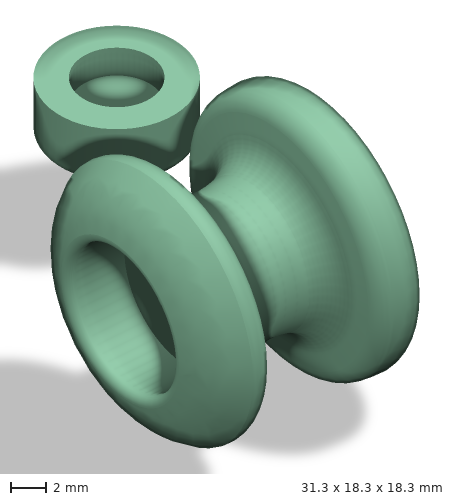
import cadquery as cq
import math

puck_diameter = 9.4
puck_height = 4.0
puck_edge_radius = 0.5
recess_diameter = 5.4
recess_depth = 2.0

spool_length = 14.97
spool_center_x = 17.435
spool_front_y = -13.63

rear_rim_radius = 9.145
rim_edge_radius = 1.25
crown_radius = 6.5
crown_angle = 10.0

front_rim_radius = 8.9
front_rim_station = 2.92
dome_radius = 4.9
dome_start_angle = 17.0
lip_angle = 10.0

waist_radius = 4.64
waist_station = 8.21
waist_arc_radius = 6.35
flank_arc_radius = 2.15
rear_waist_reach = 1.6
front_waist_reach = 2.27

pocket_radius = 4.75
pocket_depth = 4.1
lip_radius = 0.5
through_hole_radius = 2.25


def on_circle(center, radius, degrees):
    """Point on a circle in the (radius, station) half plane; 0 degrees points outward."""
    angle = math.radians(degrees)
    return (center[0] + radius * math.cos(angle), center[1] + radius * math.sin(angle))


def add_arc(profile, center, radius, start, end):
    """Extend the profile from its current point along a circle, from start to end degrees."""
    middle = on_circle(center, radius, (start + end) / 2)
    return profile.threePointArc(middle, on_circle(center, radius, end))


def flank_arc_center(waist_center, waist_angle):
    """Centre of the flank arc that is tangent to the waist arc at waist_angle."""
    return on_circle(waist_center, waist_arc_radius - flank_arc_radius, waist_angle)


def flank_angle(rim_center, flank_center, side):
    """Direction from the rim circle's centre to its contact with the straight flank line.

    The line is the inner common tangent of the rim and flank circles.
    side is +1 when the groove lies toward larger stations, -1 when toward smaller ones.
    """
    dr = flank_center[0] - rim_center[0]
    ds = flank_center[1] - rim_center[1]
    to_flank = math.degrees(math.atan2(ds, dr))
    spread = math.degrees(math.acos((rim_edge_radius + flank_arc_radius) / math.hypot(dr, ds)))
    return to_flank - side * spread


def make_puck():
    puck = (
        cq.Workplane("XY")
        .workplane(offset=-puck_height)
        .circle(puck_diameter / 2)
        .extrude(puck_height)
        .faces("<Z")
        .edges()
        .fillet(puck_edge_radius)
    )
    recess = cq.Workplane("XY").circle(recess_diameter / 2).extrude(-recess_depth)
    return puck.cut(recess)


def make_spool():
    lip_center = (pocket_radius + lip_radius, lip_radius)
    front_rim_center = (front_rim_radius - rim_edge_radius, front_rim_station)
    rear_edge_center = (rear_rim_radius - rim_edge_radius, spool_length - rim_edge_radius)
    crown_center = (rear_rim_radius - crown_radius, rear_edge_center[1])
    inner_edge_center = on_circle(crown_center, crown_radius - rim_edge_radius, -crown_angle)
    waist_center = (waist_radius + waist_arc_radius, waist_station)

    front_waist_angle = 180 + math.degrees(math.asin(front_waist_reach / waist_arc_radius))
    rear_waist_angle = 180 - math.degrees(math.asin(rear_waist_reach / waist_arc_radius))
    front_flank_center = flank_arc_center(waist_center, front_waist_angle)
    rear_flank_center = flank_arc_center(waist_center, rear_waist_angle)

    front_angle = flank_angle(front_rim_center, front_flank_center, 1)
    rear_angle = flank_angle(inner_edge_center, rear_flank_center, -1)

    profile = (
        cq.Workplane("XY")
        .moveTo(through_hole_radius, spool_length)
        .lineTo(through_hole_radius, pocket_depth)
        .lineTo(pocket_radius, pocket_depth)
        .lineTo(pocket_radius, lip_center[1])
    )
    profile = add_arc(profile, lip_center, lip_radius, 180, 270 + lip_angle)
    dome_end = on_circle(front_rim_center, rim_edge_radius, -dome_start_angle)
    profile = profile.radiusArc(dome_end, -dome_radius)
    profile = add_arc(profile, front_rim_center, rim_edge_radius, -dome_start_angle, front_angle)
    profile = profile.lineTo(*on_circle(front_flank_center, flank_arc_radius, front_angle + 180))
    profile = add_arc(
        profile, front_flank_center, flank_arc_radius, front_angle + 180, front_waist_angle
    )
    profile = add_arc(
        profile, waist_center, waist_arc_radius, front_waist_angle, rear_waist_angle
    )
    profile = add_arc(
        profile, rear_flank_center, flank_arc_radius, rear_waist_angle, rear_angle + 180
    )
    profile = profile.lineTo(*on_circle(inner_edge_center, rim_edge_radius, rear_angle))
    profile = add_arc(profile, inner_edge_center, rim_edge_radius, rear_angle, -crown_angle)
    profile = add_arc(profile, crown_center, crown_radius, -crown_angle, 0)
    profile = add_arc(profile, rear_edge_center, rim_edge_radius, 0, 90)

    spool = profile.close().revolve(360, (0, 0, 0), (0, 1, 0))
    return spool.translate((spool_center_x, spool_front_y, 0))


puck = make_puck()
spool = make_spool()

result = cq.Compound.makeCompound([puck.val(), spool.val()])